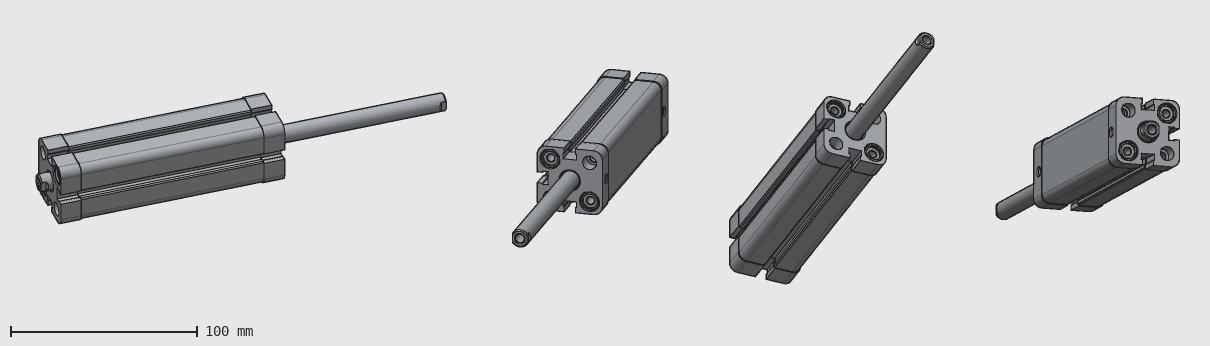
import cadquery as cq

total_length = 230.0
front_rod_reach = 6.5
housing_length = 127.0
cap_length = 11.7
front_face_y = front_rod_reach
rear_face_y = front_face_y + housing_length
barrel_start_y = front_face_y + cap_length
barrel_length = housing_length - 2 * cap_length

cap_width = 36.4
cap_corner_radius = 4.8
barrel_inset = 0.5
barrel_width = cap_width - 2 * barrel_inset
barrel_corner_radius = cap_corner_radius - barrel_inset

slot_angles = (0, 90, 180)
slot_floor = 12.0
slot_lip = 15.2
cap_slot_mouth = 6.2
cap_slot_width = 7.4
barrel_slot_mouth = 4.8
barrel_slot_chamfer = 0.7
barrel_slot_width = 6.2

rod_diameter = 10.0
rod_tip_chamfer = 0.7
rod_bore_diameter = 4.8
rod_bore_depth = 12.0
rod_bore_chamfer = 0.58
flat_width = 8.0
flat_length = 3.0
flat_runout = 1.2

rod_seat_diameter = 10.5
rod_seat_mouth_diameter = 12.0
rod_seat_depth = 1.4

corner_offset = 11.0
thread_diameter = 4.1
thread_chamfer_diameter = 4.8
corner_hole_diameter = 7.5
corner_hole_depth = 8.0
counterbore_diameter = 11.0
counterbore_depth = 1.8
collar_diameter = 10.0
collar_recess = 0.7
socket_diameter = 8.0
socket_depth = 1.8

port_diameter = 4.1
port_chamfer = 0.7
port_depth = 5.8
port_distance = 7.5


def cylinder_y(diameter, start_y, length, x=0, z=0):
    """Cylinder running from start_y towards +Y."""
    return cq.Workplane("XZ", origin=(x, start_y, z)).circle(diameter / 2).extrude(-length)


def cone_y(start_diameter, end_diameter, start_y, x=0, z=0):
    """45 degree countersink narrowing towards +Y."""
    length = (start_diameter - end_diameter) / 2
    return cq.Workplane(
        cq.Solid.makeCone(
            start_diameter / 2, end_diameter / 2, length, cq.Vector(x, start_y, z), cq.Vector(0, 1, 0)
        )
    )


def cut_slot_sides(bar, tool):
    """Cut a tool, placed on the top side, from every slotted side of a bar."""
    for angle in slot_angles:
        bar = bar.cut(tool.rotate((0, 0, 0), (0, 1, 0), angle))
    return bar


def slotted_bar(width, corner_radius, start_y, length, mouth, slot_width):
    """Rounded square bar along +Y with a T-slot in the top, bottom and +X sides."""
    bar = cq.Workplane("XZ", origin=(0, start_y, 0)).rect(width, width).extrude(-length)
    bar = bar.edges("|Y").fillet(corner_radius)
    slot = (
        cq.Workplane("XZ", origin=(0, start_y, 0))
        .moveTo(-slot_width / 2, slot_floor)
        .lineTo(slot_width / 2, slot_floor)
        .lineTo(slot_width / 2, slot_lip)
        .lineTo(mouth / 2, slot_lip)
        .lineTo(mouth / 2, width / 2)
        .lineTo(-mouth / 2, width / 2)
        .lineTo(-mouth / 2, slot_lip)
        .lineTo(-slot_width / 2, slot_lip)
        .close()
        .extrude(-length)
    )
    return cut_slot_sides(bar, slot)


def threaded_hole(start_y, x, z):
    """Threaded hole with a chamfered mouth, through the rest of the cap."""
    chamfer = cone_y(thread_chamfer_diameter, thread_diameter, start_y, x, z)
    return cylinder_y(thread_diameter, start_y, cap_length - start_y, x, z).union(chamfer)


def deep_corner_hole(x, z):
    """Deep mounting hole with a threaded hole in its floor."""
    hole = cylinder_y(corner_hole_diameter, 0, corner_hole_depth, x, z)
    return hole.union(threaded_hole(corner_hole_depth, x, z))


def collared_corner_hole(x, z):
    """Counterbore around a recessed collar, with a socket and a threaded hole inside the collar."""
    collar = cylinder_y(collar_diameter, collar_recess, counterbore_depth - collar_recess, x, z)
    hole = cylinder_y(counterbore_diameter, 0, counterbore_depth, x, z).cut(collar)
    hole = hole.union(cylinder_y(socket_diameter, 0, socket_depth, x, z))
    return hole.union(threaded_hole(socket_depth, x, z))


def port_hole():
    """Air port into the -X side, with a 45 degree chamfer at its mouth."""
    mouth = cq.Vector(-cap_width / 2, port_distance, 0)
    inward = cq.Vector(1, 0, 0)
    bore_radius = port_diameter / 2
    bore = cq.Solid.makeCylinder(bore_radius, port_depth, mouth, inward)
    chamfer = cq.Solid.makeCone(bore_radius + port_chamfer, bore_radius, port_chamfer, mouth, inward)
    return cq.Workplane(bore).union(cq.Workplane(chamfer))


def make_cap():
    """End cap with its outer face at Y = 0 and the barrel side towards +Y."""
    cap = slotted_bar(cap_width, cap_corner_radius, 0, cap_length, cap_slot_mouth, cap_slot_width)
    cap = cap.cut(cylinder_y(rod_diameter, 0, cap_length))
    cap = cap.cut(cylinder_y(rod_seat_diameter, 0, rod_seat_depth))
    cap = cap.cut(cone_y(rod_seat_mouth_diameter, rod_seat_diameter, 0))
    for side in (-1, 1):
        cap = cap.cut(deep_corner_hole(side * corner_offset, -side * corner_offset))
        cap = cap.cut(collared_corner_hole(side * corner_offset, side * corner_offset))
    return cap.cut(port_hole())


def make_barrel():
    """Barrel between the caps, with chamfered slot mouths."""
    barrel = slotted_bar(
        barrel_width, barrel_corner_radius, barrel_start_y, barrel_length, barrel_slot_mouth, barrel_slot_width
    )
    mouth_chamfer = (
        cq.Workplane("XZ", origin=(0, barrel_start_y, 0))
        .moveTo(-barrel_slot_mouth / 2, barrel_width / 2 - barrel_slot_chamfer)
        .lineTo(barrel_slot_mouth / 2, barrel_width / 2 - barrel_slot_chamfer)
        .lineTo(barrel_slot_mouth / 2 + barrel_slot_chamfer, barrel_width / 2)
        .lineTo(-barrel_slot_mouth / 2 - barrel_slot_chamfer, barrel_width / 2)
        .close()
        .extrude(-barrel_length)
    )
    barrel = cut_slot_sides(barrel, mouth_chamfer)
    return barrel.cut(cylinder_y(rod_diameter, barrel_start_y, barrel_length))


def rod_end_cutter(side):
    """Tool for the front rod end that leaves one flat on the given X side, with a sloped run-out."""
    return (
        cq.Workplane("XY", origin=(0, 0, -rod_diameter / 2))
        .moveTo(side * flat_width / 2, 0)
        .lineTo(side * flat_width / 2, flat_length)
        .lineTo(side * rod_diameter / 2, flat_length + flat_runout)
        .lineTo(side * rod_diameter / 2, 0)
        .close()
        .extrude(rod_diameter)
    )


def mirror_lengthwise(shape):
    """Mirror a shape end for end about the middle of the rod."""
    return shape.mirror("XZ", (0, total_length / 2, 0))


def make_rod():
    """Through rod with flats and a chamfered bore at both ends."""
    rod = cylinder_y(rod_diameter, 0, total_length).edges().chamfer(rod_tip_chamfer)
    end_tools = [rod_end_cutter(-1), rod_end_cutter(1)]
    end_tools.append(cylinder_y(rod_bore_diameter, 0, rod_bore_depth))
    bore_mouth_diameter = rod_bore_diameter + 2 * rod_bore_chamfer
    end_tools.append(cone_y(bore_mouth_diameter, rod_bore_diameter, 0))
    for tool in end_tools:
        rod = rod.cut(tool).cut(mirror_lengthwise(tool))
    return rod


front_cap = make_cap().translate((0, front_face_y, 0))
rear_cap = make_cap().mirror("XZ").translate((0, rear_face_y, 0))
barrel = make_barrel()
rod = make_rod()

result = cq.Compound.makeCompound([front_cap.val(), rear_cap.val(), barrel.val(), rod.val()])